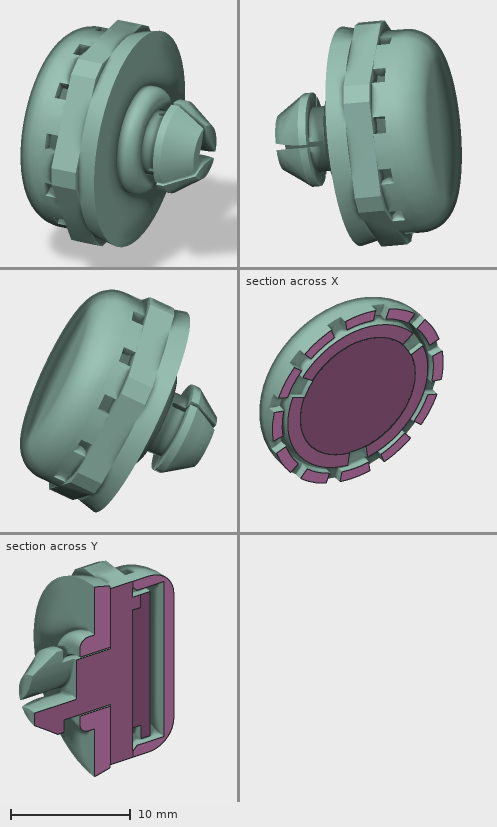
import cadquery as cq
import math


length = 13.96
window_start = 3.05
ring_top = 3.33
hex_front = 4.13
hex_back = 6.37
seal_back = 7.97
collar_end = 9.43
slot_start = 9.77
head_start = 10.97
head_cone_start = 11.63

cap_radius = 17.06 / 2
cap_round = 2.54
cap_bore_radius = 14.95 / 2
cap_wall = cap_radius - cap_bore_radius
cap_rim_chamfer = 0.43
window_count = 12
window_angle = 9.4
window_first_angle = 13.1

hex_across_flats = 2 * cap_radius
hex_across_corners = 18.79
ring_radius = 14.0 / 2
ring_bore_radius = 11.4 / 2
notch_angle = 16.0
notch_directions = (30, 150, 270)
stem_radius = 5.45 / 2
head_radius = 3.93
head_tip_radius = 2.33
slot_width = 0.35
slot_end_round = 0.15
leg_inner_radius = 11.3 / 2
slot_count = 3
slot_first_angle = 90

cover_thickness = 0.94
spigot_radius = ring_bore_radius

seal_bore_radius = 5.65 / 2
skirt_front_radius = 8.83
skirt_back_radius = 18.43 / 2
collar_radius = 9.15 / 2
collar_round = 0.9

AXIS_START = (0, 0, 0)
AXIS_END = (1, 0, 0)
CUTTER_OVERRUN = 1.2


def revolve_about_x(outline):
    """Turn a closed (x, radius) outline around the X axis."""
    return outline.close().revolve(360, AXIS_START, AXIS_END)


def disc(radius, start, end):
    """Cylinder on the X axis between two stations."""
    return cq.Workplane("YZ", origin=(start, 0, 0)).circle(radius).extrude(end - start)


def polar(radius, direction):
    """(y, z) of a point around the X axis; direction is in degrees from +Y towards +Z."""
    turn = math.radians(direction)
    return (radius * math.cos(turn), radius * math.sin(turn))


def sector(direction, angle, inner, outer, start, end):
    """Wedge-shaped cutter with radial sides, centred on a direction."""
    first = direction - angle / 2
    last = direction + angle / 2
    corners = [polar(inner, first), polar(outer, first), polar(outer, last), polar(inner, last)]
    return cq.Workplane("YZ", origin=(start, 0, 0)).polyline(corners).close().extrude(end - start)


def make_cap():
    """Domed cap, open towards the hexagon, with a ring of air windows along its rim."""
    shell = disc(cap_radius, 0, hex_front).faces("<X").edges().fillet(cap_round)
    cavity = disc(cap_bore_radius, cap_wall, hex_front)
    rim_flare = revolve_about_x(
        cq.Workplane("XY")
        .moveTo(hex_front - cap_rim_chamfer, 0)
        .lineTo(hex_front - cap_rim_chamfer, cap_bore_radius)
        .lineTo(hex_front, cap_bore_radius + cap_rim_chamfer)
        .lineTo(hex_front, 0)
    )
    cap = shell.cut(cavity).cut(rim_flare)
    for index in range(window_count):
        direction = window_first_angle + index * 360 / window_count
        window_reach = CUTTER_OVERRUN * cap_radius
        cap = cap.cut(sector(direction, window_angle, ring_radius, window_reach, window_start, hex_front))
    return cap


def make_hexagon():
    """Hexagonal flange with two flats facing +Z and -Z and its six corners cut off flat."""
    thickness = hex_back - hex_front
    plane = cq.Workplane("YZ", origin=(hex_front, 0, 0))
    flats = plane.polygon(6, hex_across_flats, circumscribed=True).extrude(thickness)
    corner_cut = plane.polygon(6, hex_across_corners, circumscribed=True).extrude(thickness)
    flats = flats.rotate(AXIS_START, AXIS_END, 30)
    return flats.intersect(corner_cut)


def make_leg_gap():
    """Three-armed cutter that splits the stem end into snap legs.

    Each arm is a slot of constant width whose sides run tangentially into the convex
    inner faces of the two legs beside it.
    """
    half = slot_width / 2
    step = 360 / slot_count
    leg_centre = (leg_inner_radius + half) / math.sin(math.radians(step / 2))
    leg_crest = leg_centre - leg_inner_radius
    tangent_reach = leg_centre * math.cos(math.radians(step / 2))
    arm_reach = CUTTER_OVERRUN * head_radius

    def arm_point(reach, side, direction):
        offset_angle = math.degrees(math.atan2(side * half, reach))
        return polar(math.hypot(reach, half), direction + offset_angle)

    outline = cq.Workplane("YZ", origin=(slot_start, 0, 0))
    outline = outline.moveTo(*arm_point(tangent_reach, -1, slot_first_angle))
    for index in range(slot_count):
        direction = slot_first_angle + index * step
        outline = (
            outline.lineTo(*arm_point(arm_reach, -1, direction))
            .lineTo(*arm_point(arm_reach, 1, direction))
            .lineTo(*arm_point(tangent_reach, 1, direction))
            .threePointArc(
                polar(leg_crest, direction + step / 2),
                arm_point(tangent_reach, -1, direction + step),
            )
        )
    gap = outline.close().extrude(length - slot_start)
    return gap.faces("<X").edges().fillet(slot_end_round)


def make_base():
    """Hexagonal base with a notched ring inside the cap and a split snap stem."""
    ring = disc(ring_radius, ring_top, hex_front).cut(disc(ring_bore_radius, ring_top, hex_front))
    for direction in notch_directions:
        notch_reach = CUTTER_OVERRUN * ring_radius
        ring = ring.cut(sector(direction, notch_angle, ring_bore_radius / 2, notch_reach, ring_top, hex_front))
    stem = revolve_about_x(
        cq.Workplane("XY")
        .moveTo(hex_back, 0)
        .lineTo(hex_back, stem_radius)
        .lineTo(head_start, stem_radius)
        .lineTo(head_start, head_radius)
        .lineTo(head_cone_start, head_radius)
        .lineTo(length, head_tip_radius)
        .lineTo(length, 0)
    )
    return make_hexagon().union(ring).union(stem.cut(make_leg_gap()))


def make_cover():
    """Round cover lying on the base ring, with a spigot that fills the ring bore."""
    plate = disc(ring_radius, ring_top - cover_thickness, ring_top)
    return plate.union(disc(spigot_radius, ring_top, hex_front))


def make_seal():
    """Seal behind the hexagon: a flaring skirt and a rounded collar around the stem."""
    skirt = revolve_about_x(
        cq.Workplane("XY")
        .moveTo(hex_back, 0)
        .lineTo(hex_back, skirt_front_radius)
        .lineTo(seal_back, skirt_back_radius)
        .lineTo(seal_back, 0)
    )
    collar = disc(collar_radius, seal_back, collar_end).faces(">X").edges().fillet(collar_round)
    return skirt.union(collar).cut(disc(seal_bore_radius, hex_back, collar_end))


cap = make_cap()
base = make_base()
cover = make_cover()
seal = make_seal()

result = cq.Compound.makeCompound([body.solids().val() for body in (cap, base, cover, seal)])